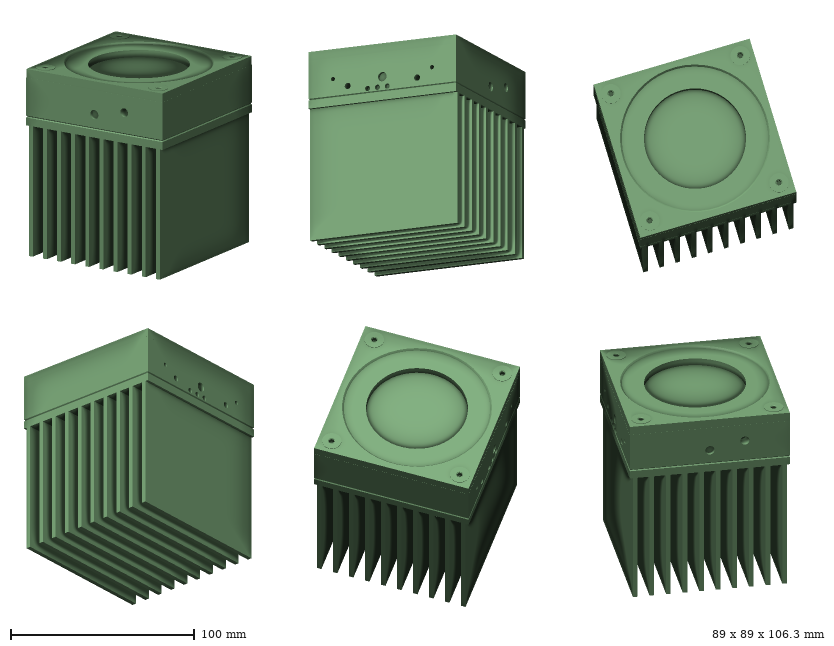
import cadquery as cq
import math

SIDE = 89.0
LID_SIDE = 88.9

FIN_HEIGHT = 74.0
BASE_THICKNESS = 5.0
HOUSING_HEIGHT = 22.0
LID_THICKNESS = 5.0
HEAD_PROTRUSION = 0.3

BASE_BOTTOM = FIN_HEIGHT
HOUSING_BOTTOM = BASE_BOTTOM + BASE_THICKNESS
HOUSING_TOP = HOUSING_BOTTOM + HOUSING_HEIGHT
LID_TOP = HOUSING_TOP + LID_THICKNESS
HEAD_TOP = LID_TOP + HEAD_PROTRUSION

EDGE_BEVEL = 0.5

FIN_COUNT = 10
FIN_THICKNESS = 2.5
FIN_SPAN = 85.5
FIN_PITCH = (FIN_SPAN - FIN_THICKNESS) / (FIN_COUNT - 1)

PORT_FLOOR_RADIUS = 42.5
CENTRE_PORT_DIAMETER = 5.2
CENTRE_PORT_HEIGHT = 8.1
OFFSET_PORT_DIAMETER = 5.0
OFFSET_PORT_HEIGHT = 12.2
OFFSET_PORT_X = 19.5
PAIR_PORT_DIAMETER = 3.5
PAIR_PORT_HEIGHT = 5.2
PAIR_PORT_SPACING = 41.9
ROW_PORT_DIAMETER = 3.0
ROW_PORT_HEIGHT = 2.4
ROW_PORT_COUNT = 3
ROW_PORT_PITCH = 6.0
ROW_CENTRE_Y = 3.0

DRILL_DIAMETER = 2.4
DRILL_DEPTH = 5.3
DRILL_POINT_ANGLE = 118
DRILL_HEIGHT = 10.1
DRILL_SPACING = 59.8

DISH_RADIUS = 41.0
DISH_DEPTH = 1.0
WINDOW_RADIUS = 27.9

SCREW_SPACING = 73.7
HEAD_RADIUS = 5.3
SHANK_RADIUS = 2.5
SHANK_LENGTH = 14.9
SOCKET_ACROSS_CORNERS = 3.2
SOCKET_DEPTH = 2.5
SOCKET_MOUTH_RADIUS = 1.9

SCREW_PLACES = [
    (x_sign * SCREW_SPACING / 2, y_sign * SCREW_SPACING / 2)
    for x_sign in (-1, 1)
    for y_sign in (-1, 1)
]


def square_plate(side, bottom, thickness):
    """A square plate centred on the Z axis."""
    return cq.Workplane("XY").workplane(offset=bottom).rect(side, side).extrude(thickness)


def upright_cylinder(radius, bottom, top):
    """A cylinder on the Z axis."""
    return cq.Workplane("XY").workplane(offset=bottom).circle(radius).extrude(top - bottom)


def screw_solid():
    """The outer form of a screw on the Z axis, without its socket."""
    cone_bottom = LID_TOP - (HEAD_RADIUS - SHANK_RADIUS)
    shank_bottom = cone_bottom - SHANK_LENGTH
    half_profile = [
        (0, shank_bottom),
        (SHANK_RADIUS, shank_bottom),
        (SHANK_RADIUS, cone_bottom),
        (HEAD_RADIUS, LID_TOP),
        (HEAD_RADIUS, HEAD_TOP),
        (0, HEAD_TOP),
    ]
    return cq.Workplane("XZ").polyline(half_profile).close().revolve(360, (0, 0), (0, 1))


def cut_screw_seats(body):
    """Cut the exact seats of the four screws out of a body."""
    for x, y in SCREW_PLACES:
        body = body.cut(screw_solid().translate((x, y, 0)))
    return body


def make_heat_sink():
    sink = square_plate(SIDE, BASE_BOTTOM, BASE_THICKNESS).faces(">Z").chamfer(EDGE_BEVEL)
    for index in range(FIN_COUNT):
        x = (index - (FIN_COUNT - 1) / 2) * FIN_PITCH
        fin = cq.Workplane("XY").center(x, 0).rect(FIN_THICKNESS, SIDE).extrude(FIN_HEIGHT)
        sink = sink.union(fin)
    return sink


def port_from_front(x, height, diameter):
    """A cylinder along Y from the -Y face to the middle of the housing."""
    start = cq.Vector(x, -SIDE / 2, HOUSING_BOTTOM + height)
    return cq.Solid.makeCylinder(diameter / 2, SIDE / 2, start, cq.Vector(0, 1, 0))


def port_from_left(y, height, diameter):
    """A cylinder along X from the -X face to the middle of the housing."""
    start = cq.Vector(-SIDE / 2, y, HOUSING_BOTTOM + height)
    return cq.Solid.makeCylinder(diameter / 2, SIDE / 2, start, cq.Vector(1, 0, 0))


def drilled_hole(y):
    """A blind hole along X from the -X face, with a drill-point end."""
    radius = DRILL_DIAMETER / 2
    point_length = radius / math.tan(math.radians(DRILL_POINT_ANGLE / 2))
    inward = cq.Vector(1, 0, 0)
    start = cq.Vector(-SIDE / 2, y, HOUSING_BOTTOM + DRILL_HEIGHT)
    barrel = cq.Solid.makeCylinder(radius, DRILL_DEPTH, start, inward)
    point = cq.Solid.makeCone(radius, 0, point_length, start + inward * DRILL_DEPTH, inward)
    return barrel.fuse(point)


def side_ports():
    """All the ports that open on the -Y and -X faces."""
    ports = [
        port_from_front(0, CENTRE_PORT_HEIGHT, CENTRE_PORT_DIAMETER),
        port_from_front(OFFSET_PORT_X, OFFSET_PORT_HEIGHT, OFFSET_PORT_DIAMETER),
        port_from_left(0, CENTRE_PORT_HEIGHT, CENTRE_PORT_DIAMETER),
    ]
    for side in (-1, 1):
        pair_y = side * PAIR_PORT_SPACING / 2
        ports.append(port_from_left(pair_y, PAIR_PORT_HEIGHT, PAIR_PORT_DIAMETER))
    for index in range(ROW_PORT_COUNT):
        row_y = ROW_CENTRE_Y + (index - (ROW_PORT_COUNT - 1) / 2) * ROW_PORT_PITCH
        ports.append(port_from_left(row_y, ROW_PORT_HEIGHT, ROW_PORT_DIAMETER))
    return ports


def make_housing():
    housing = square_plate(SIDE, HOUSING_BOTTOM, HOUSING_HEIGHT).faces("<Z").chamfer(EDGE_BEVEL)
    port_floor = upright_cylinder(PORT_FLOOR_RADIUS, HOUSING_BOTTOM, HOUSING_TOP).val()
    for port in side_ports():
        housing = housing.cut(port.cut(port_floor))
    for side in (-1, 1):
        housing = housing.cut(drilled_hole(side * DRILL_SPACING / 2))
    return cut_screw_seats(housing)


def make_lid():
    lid = square_plate(LID_SIDE, HOUSING_TOP, LID_THICKNESS)
    dish = cq.Solid.makeCone(
        DISH_RADIUS - DISH_DEPTH, DISH_RADIUS, DISH_DEPTH, cq.Vector(0, 0, LID_TOP - DISH_DEPTH)
    )
    lid = lid.cut(dish)
    lid = lid.cut(upright_cylinder(WINDOW_RADIUS, HOUSING_TOP, LID_TOP))
    return cut_screw_seats(lid)


def make_screw(x, y):
    """A screw at a place in plan, with a hexagon socket that has a 45 degree mouth."""
    socket = (
        cq.Workplane("XY")
        .workplane(offset=HEAD_TOP)
        .polygon(6, SOCKET_ACROSS_CORNERS)
        .extrude(-SOCKET_DEPTH)
    )
    corner_radius = SOCKET_ACROSS_CORNERS / 2
    bevel_depth = SOCKET_MOUTH_RADIUS - corner_radius
    mouth = cq.Solid.makeCone(
        corner_radius,
        SOCKET_MOUTH_RADIUS,
        bevel_depth,
        cq.Vector(0, 0, HEAD_TOP - bevel_depth),
    )
    return screw_solid().cut(socket).cut(mouth).translate((x, y, 0))


heat_sink = make_heat_sink()
housing = make_housing()
lid = make_lid()
screws = [make_screw(x, y).val() for x, y in SCREW_PLACES]

result = cq.Compound.makeCompound([heat_sink.val(), housing.val(), lid.val(), *screws])